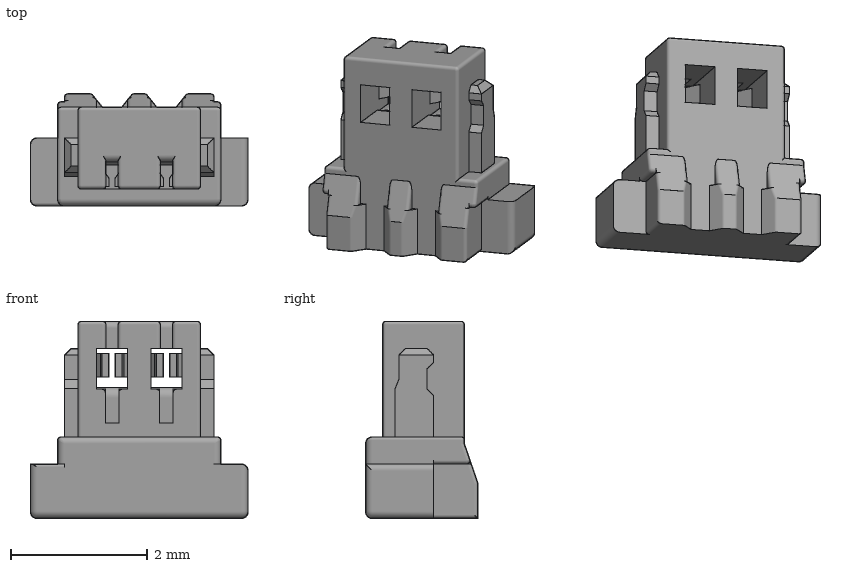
import cadquery as cq

LARGE_ROUND = 0.1
SMALL_ROUND = 0.05

WING_WIDTH = 3.2
WING_DEPTH = 1.0
WING_HEIGHT = 0.8
WING_TOP_ROUND = 0.045

BASE_WIDTH = 2.4
BASE_TOP = 1.2
FOOT_WIDTH = 2.2
FOOT_BACK = 1.65
SLOPE_BOTTOM = 0.52
SLOPE_TOP = 1.098

TOWER_WIDTH = 1.8
TOWER_FRONT = 0.25
TOWER_BACK = 1.453
TOWER_TOP = 2.9

CONTACT_PITCH = 0.8
CONTACT_CENTERS = (-CONTACT_PITCH / 2, CONTACT_PITCH / 2)

WINDOW_WIDTH = 0.45
WINDOW_BOTTOM = 1.925
WINDOW_TOP = 2.5
SILL_BOTTOM = 1.9

TOP_GROOVE_WIDTH = 0.18
TOP_GROOVE_BACK = 0.65

LOWER_SLOT_WIDTH = 0.2
LOWER_SLOT_BOTTOM = 1.4
LOWER_SLOT_BACK = 0.6
SILL_ROUND = 0.15

FINGER_BOTTOM = 2.08
FINGER_TOP = 2.43
FINGER_GAP = 0.09
FINGER_FRONT = 0.285
FINGER_TIP_WIDTH = 0.102
FINGER_SHOULDER_WIDTH = 0.128
FINGER_NOSE_END = 0.41
FINGER_SHOULDER = 0.432
FINGER_ROOT_FRONT = 0.53
FINGER_ROOT_BACK = 0.71

CHANNEL_WIDTH = WINDOW_WIDTH
CHANNEL_FLOOR = 0.688
FLARE_INNER_WIDTH = 0.28
FLARE_OUTER_WIDTH = 0.6

EAR_SPAN = FOOT_WIDTH
EAR_TOP = WINDOW_TOP
EAR_FRONT = 0.435
EAR_UPPER_FRONT = 0.49
EAR_BACK = WING_DEPTH
EAR_BEND_BOTTOM = 1.91
EAR_BEND_TOP = 2.045
EAR_NOTCH_DEPTH = 0.095
EAR_NOTCH_BOTTOM = 1.805
EAR_NOTCH_TOP = 2.298
EAR_CHAMFER = 0.095

OVERCUT = 0.032


def block(x_range, y_range, z_range):
    """Box spanning the given (low, high) ranges."""
    spans = [high - low for low, high in (x_range, y_range, z_range)]
    corner = (x_range[0], y_range[0], z_range[0])
    return cq.Workplane("XY").box(*spans, centered=False).translate(corner)


def centered(width, center=0.0):
    """X range of the given width about a center."""
    return (center - width / 2, center + width / 2)


def along_x(points, x_range):
    """Prism along X from a closed outline of (y, z) points."""
    outline = cq.Workplane("YZ", origin=(x_range[0], 0, 0)).polyline(points).close()
    return outline.extrude(x_range[1] - x_range[0])


def back_at(height):
    """Y of the sloped back at a given height."""
    fraction = (SLOPE_TOP - height) / (SLOPE_TOP - SLOPE_BOTTOM)
    return TOWER_BACK + fraction * (FOOT_BACK - TOWER_BACK)


def round_edges(body, points, radius):
    """Fillet the edges of a body whose middles lie nearest to the given points."""
    edges = [body.edges(cq.selectors.NearestToPointSelector(point)).val() for point in points]
    return body.newObject(edges).fillet(radius)


def make_wings():
    """Wide lower bar; its two ends are rounded differently."""
    wings = block(centered(WING_WIDTH), (0, WING_DEPTH), (0, WING_HEIGHT))
    end = WING_WIDTH / 2
    mid_y = WING_DEPTH / 2
    mid_z = WING_HEIGHT / 2
    large_round_edges = [
        (-end, 0, mid_z),
        (end, 0, mid_z),
        (-end, WING_DEPTH, mid_z),
        (0, 0, 0),
        (-end, mid_y, 0),
        (end, mid_y, 0),
        (end, mid_y, WING_HEIGHT),
    ]
    wings = round_edges(wings, large_round_edges, LARGE_ROUND)

    corner = (-end, 0, WING_HEIGHT)
    strip = block((-end, -FOOT_WIDTH / 2), (0, WING_TOP_ROUND), (WING_HEIGHT - WING_TOP_ROUND, WING_HEIGHT))
    rod = (
        cq.Workplane("YZ", origin=corner)
        .center(WING_TOP_ROUND, -WING_TOP_ROUND)
        .circle(WING_TOP_ROUND)
        .extrude(end)
    )
    return wings.cut(strip.cut(rod))


def make_foot():
    """Narrow center block with the sloped back, below the shoulder."""
    profile = [
        (LARGE_ROUND, 0),
        (FOOT_BACK, 0),
        (FOOT_BACK, SLOPE_BOTTOM),
        (back_at(WING_HEIGHT), WING_HEIGHT),
        (LARGE_ROUND, WING_HEIGHT),
    ]
    foot = along_x(profile, centered(FOOT_WIDTH))
    slope_mid_z = (SLOPE_BOTTOM + WING_HEIGHT) / 2
    edges = []
    for x in centered(FOOT_WIDTH):
        edges.append((x, FOOT_BACK / 2, 0))
        edges.append((x, FOOT_BACK, SLOPE_BOTTOM / 2))
        edges.append((x, back_at(slope_mid_z), slope_mid_z))
    return round_edges(foot, edges, SMALL_ROUND)


def make_shoulder():
    """Wider block above the wings, overhanging the foot at both sides."""
    profile = [
        (0, WING_HEIGHT),
        (back_at(WING_HEIGHT), WING_HEIGHT),
        (TOWER_BACK, SLOPE_TOP),
        (TOWER_BACK, BASE_TOP),
        (0, BASE_TOP),
    ]
    shoulder = along_x(profile, centered(BASE_WIDTH))
    slope_mid_z = (SLOPE_TOP + WING_HEIGHT) / 2
    mid_y = TOWER_BACK / 2
    front_edges = [(0, 0, BASE_TOP)]
    back_edges = [(0, TOWER_BACK, BASE_TOP)]
    for x in centered(BASE_WIDTH):
        front_edges.append((x, 0, (WING_HEIGHT + BASE_TOP) / 2))
        back_edges.append((x, mid_y, BASE_TOP))
        back_edges.append((x, TOWER_BACK, (SLOPE_TOP + BASE_TOP) / 2))
        back_edges.append((x, back_at(slope_mid_z), slope_mid_z))
    shoulder = round_edges(shoulder, front_edges, LARGE_ROUND)
    shoulder = round_edges(shoulder, back_edges, SMALL_ROUND)

    under_edges = [(x, mid_y, WING_HEIGHT) for x in centered(BASE_WIDTH)]
    under_edges.append((0, back_at(WING_HEIGHT), WING_HEIGHT))
    z_range = (WING_HEIGHT, BASE_TOP)
    over_wings = block(centered(BASE_WIDTH), (0, WING_DEPTH), z_range)
    over_foot = block(centered(FOOT_WIDTH), (0, FOOT_BACK), z_range)
    supported = shoulder.intersect(over_wings.union(over_foot))
    return round_edges(shoulder, under_edges, SMALL_ROUND).union(supported)


def make_tower():
    """Upright housing with rounded edges and two grooves open at its top front."""
    tower = block(centered(TOWER_WIDTH), (TOWER_FRONT, TOWER_BACK), (WING_HEIGHT, TOWER_TOP))
    tower = tower.edges("|Z").fillet(SMALL_ROUND)
    for center in CONTACT_CENTERS:
        x_range = centered(TOP_GROOVE_WIDTH, center)
        y_range = (TOWER_FRONT - OVERCUT, TOP_GROOVE_BACK)
        tower = tower.cut(block(x_range, y_range, (WINDOW_BOTTOM, TOWER_TOP + OVERCUT)))

    mouth_z = (WINDOW_BOTTOM + TOWER_TOP) / 2
    mouths = []
    groove_backs = []
    for center in CONTACT_CENTERS:
        groove_backs.append((center, TOP_GROOVE_BACK, TOWER_TOP))
        for x in centered(TOP_GROOVE_WIDTH, center):
            mouths.append((x, TOWER_FRONT, mouth_z))
    tower = round_edges(tower, mouths, SMALL_ROUND)
    tower = round_edges(tower, groove_backs, LARGE_ROUND)
    return tower.faces(">Z").edges().fillet(SMALL_ROUND)


def cut_contact_openings(body):
    """Through windows with their lower slots and rounded sills."""
    for center in CONTACT_CENTERS:
        window_x = centered(WINDOW_WIDTH, center)
        slot_x = centered(LOWER_SLOT_WIDTH, center)
        front = TOWER_FRONT - OVERCUT
        sill_y = LOWER_SLOT_BACK + SILL_ROUND
        body = body.cut(block(window_x, (front, TOWER_BACK + OVERCUT), (WINDOW_BOTTOM, WINDOW_TOP)))

        rod = (
            cq.Workplane("YZ", origin=(window_x[0], sill_y, WINDOW_BOTTOM - SILL_ROUND))
            .circle(SILL_ROUND)
            .extrude(WINDOW_WIDTH)
        )
        lip = block(window_x, (front, sill_y), (SILL_BOTTOM, WINDOW_BOTTOM))
        slot = block(slot_x, (front, sill_y), (WINDOW_BOTTOM - SILL_ROUND, WINDOW_BOTTOM))
        body = body.cut(lip.union(slot).cut(rod))
        body = body.cut(block(slot_x, (front, LOWER_SLOT_BACK), (LOWER_SLOT_BOTTOM, WINDOW_BOTTOM)))

        for side in (-1, 1):
            wall_x = center + side * LOWER_SLOT_WIDTH / 2
            outer_x = wall_x + side * SMALL_ROUND
            corner_bottom = SILL_BOTTOM - SMALL_ROUND
            corner = block(sorted((wall_x, outer_x)), (front, LOWER_SLOT_BACK), (corner_bottom, SILL_BOTTOM))
            post = (
                cq.Workplane("XZ", origin=(outer_x, LOWER_SLOT_BACK, corner_bottom))
                .circle(SMALL_ROUND)
                .extrude(LOWER_SLOT_BACK)
            )
            body = body.cut(corner.cut(post))
    return body


def make_fingers():
    """Pair of spring fingers in each window, closing toward the front."""
    gap = FINGER_GAP / 2
    wall = WINDOW_WIDTH / 2 + OVERCUT
    outline = [
        (gap, FINGER_FRONT),
        (gap, FINGER_NOSE_END),
        (wall, FINGER_ROOT_BACK),
        (wall, FINGER_ROOT_FRONT),
        (gap + FINGER_SHOULDER_WIDTH, FINGER_SHOULDER),
        (gap + FINGER_TIP_WIDTH, FINGER_FRONT),
    ]
    finger = (
        cq.Workplane("XY", origin=(0, 0, FINGER_BOTTOM))
        .polyline(outline)
        .close()
        .extrude(FINGER_TOP - FINGER_BOTTOM)
    )
    pair = finger.union(finger.mirror("YZ"))
    left, right = [pair.translate((center, 0, 0)) for center in CONTACT_CENTERS]
    return left.union(right)


def cut_wire_channels(body):
    """Wire channels in the sloped back: straight above their floors, flared below, with rounded rims."""
    reach = (-WING_WIDTH, WING_WIDTH)
    upper = body.intersect(block(reach, reach, (CHANNEL_FLOOR, TOWER_TOP)))
    lower = body.intersect(block(reach, reach, (0, CHANNEL_FLOOR)))
    upper_z = (CHANNEL_FLOOR + SLOPE_TOP) / 2
    lower_z = (SLOPE_BOTTOM + CHANNEL_FLOOR) / 2
    lower_fraction = (back_at(lower_z) - TOWER_BACK) / (FOOT_BACK - TOWER_BACK)
    lower_width = FLARE_INNER_WIDTH + lower_fraction * (FLARE_OUTER_WIDTH - FLARE_INNER_WIDTH)
    upper_rims = []
    lower_rims = []
    for center in CONTACT_CENTERS:
        x_range = centered(CHANNEL_WIDTH, center)
        y_range = (TOWER_BACK, FOOT_BACK)
        upper = upper.cut(block(x_range, y_range, (CHANNEL_FLOOR, SLOPE_TOP)))
        upper_rims += [(x, back_at(upper_z), upper_z) for x in x_range]

        flare_outline = [
            (center - FLARE_INNER_WIDTH / 2, TOWER_BACK),
            (center + FLARE_INNER_WIDTH / 2, TOWER_BACK),
            (center + FLARE_OUTER_WIDTH / 2, FOOT_BACK),
            (center - FLARE_OUTER_WIDTH / 2, FOOT_BACK),
        ]
        lower = lower.cut(cq.Workplane("XY").polyline(flare_outline).close().extrude(CHANNEL_FLOOR))
        lower_rims += [(x, FOOT_BACK, SLOPE_BOTTOM / 2) for x in centered(FLARE_OUTER_WIDTH, center)]
        lower_rims += [(x, back_at(lower_z), lower_z) for x in centered(lower_width, center)]
    upper = round_edges(upper, upper_rims, SMALL_ROUND)
    lower = round_edges(lower, lower_rims, SMALL_ROUND)
    return upper.union(lower)


def make_ears():
    """Bar across the tower whose two ends stand out as latch ears, with a notched back."""
    profile = [
        (EAR_FRONT, WING_HEIGHT),
        (EAR_FRONT, EAR_BEND_BOTTOM),
        (EAR_UPPER_FRONT, EAR_BEND_TOP),
        (EAR_UPPER_FRONT, EAR_TOP),
        (EAR_BACK, EAR_TOP),
        (EAR_BACK, EAR_NOTCH_TOP),
        (EAR_BACK - EAR_NOTCH_DEPTH, EAR_NOTCH_TOP - EAR_NOTCH_DEPTH),
        (EAR_BACK - EAR_NOTCH_DEPTH, EAR_NOTCH_BOTTOM + EAR_NOTCH_DEPTH),
        (EAR_BACK, EAR_NOTCH_BOTTOM),
        (EAR_BACK, WING_HEIGHT),
    ]
    return along_x(profile, centered(EAR_SPAN)).faces(">Z").edges().chamfer(EAR_CHAMFER)


housing = make_tower().union(make_ears())
housing = cut_contact_openings(housing).union(make_fingers())
base = make_wings().union(make_foot()).union(make_shoulder())
result = cut_wire_channels(base).union(housing)